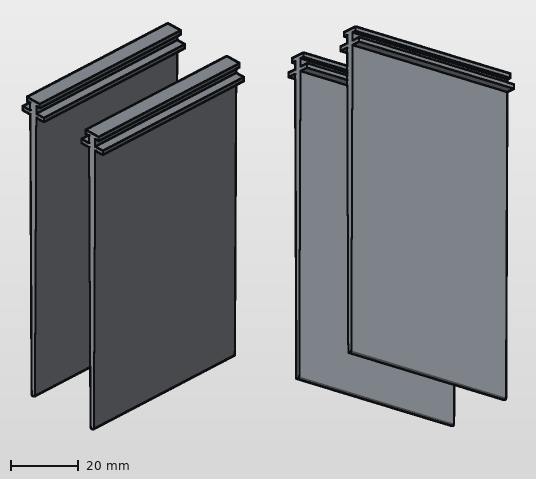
import cadquery as cq

HEIGHT = 103.8
LENGTH = 58.0
OVERALL_WIDTH = 34.0

CAP_WIDTH = 5.5
FLANGE_WIDTH = 9.0
NECK_WIDTH = 2.6
PLATE_THICKNESS = 1.5
FLANGE_TOP_DEPTH = 4.0

TIP_WIDTH = 1.5
TIP_RADIUS = 0.67

PANEL_SPACING = OVERALL_WIDTH - FLANGE_WIDTH
FLANGE_BOTTOM_Z = HEIGHT - FLANGE_TOP_DEPTH - PLATE_THICKNESS


def plate(width, bottom_z):
    """Flat strip along the full length, centred on X and Y."""
    return (
        cq.Workplane("XY")
        .workplane(offset=bottom_z)
        .box(width, LENGTH, PLATE_THICKNESS, centered=(True, True, False))
    )


def neck():
    """Parallel-sided web from the flange's underside to the top of the cap."""
    return (
        cq.Workplane("XY")
        .workplane(offset=FLANGE_BOTTOM_Z)
        .box(NECK_WIDTH, LENGTH, HEIGHT - FLANGE_BOTTOM_Z, centered=(True, True, False))
    )


def blade():
    """Tapered sheet hanging below the flange, with its long tip edges rounded."""
    return (
        cq.Workplane("XZ")
        .polyline([
            (-NECK_WIDTH / 2, FLANGE_BOTTOM_Z),
            (-TIP_WIDTH / 2, 0),
            (TIP_WIDTH / 2, 0),
            (NECK_WIDTH / 2, FLANGE_BOTTOM_Z),
        ])
        .close()
        .extrude(LENGTH / 2, both=True)
        .faces("<Z")
        .edges("|Y")
        .fillet(TIP_RADIUS)
    )


def panel(center_x):
    """One complete hanging panel, as a single solid."""
    cap = plate(CAP_WIDTH, HEIGHT - PLATE_THICKNESS)
    flange = plate(FLANGE_WIDTH, FLANGE_BOTTOM_Z)
    body = neck().union(cap).union(flange).union(blade())
    return body.translate((center_x, 0, 0))


panels = [panel(side * PANEL_SPACING / 2) for side in (-1, 1)]

result = cq.Compound.makeCompound([body.val() for body in panels])